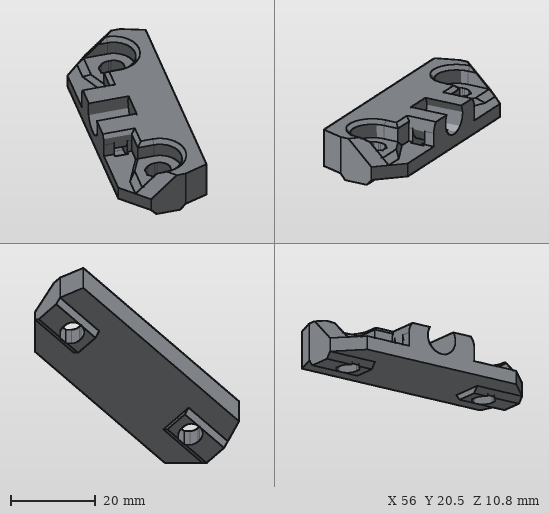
import cadquery as cq
import math

length = 56.0
depth = 20.5
height = 10.8
half_length = length / 2
margin = 1.0

rear_corner_x = 2.0
rear_corner_y = 5.75
front_corner = 6.3

foot_height = 1.5
foot_inner_x = 14.9
foot_run = 1.3
foot_front_y = front_corner
foot_rear_y = depth - rear_corner_y

screw_x = 19.75
screw_y = 10.8
seat_radius = 5.25
seat_floor_z = 6.4
edge_chamfer = 1.0
hole_radius = 2.65
hole_stretch = 0.6
hole_flat_drop = 2.8

ledge_z = 4.85
ledge_rear_y = 6.9
block_half_width = 9.5
seat_outer_x = screw_x + seat_radius
seat_inner_x = screw_x - seat_radius

corner_face_run = 6.3

ramp_foot_y = front_corner - (half_length - seat_outer_x)
ramp_run = corner_face_run * (seat_floor_z - ledge_z) / (height - ledge_z)
ramp_top_y = ramp_foot_y + ramp_run
ramp_top_x = 18.65
ramp_foot_x = 20.3
ramp_slope = 0.47

groove_radius = 4.0
groove_z = 8.7
groove_length = 9.8

bend_radius = 3.55
bend_z = 8.3
channel_outer_radius = 5.5
channel_front_y = 2.55
channel_rear_y = 5.75
bend_x = block_half_width - bend_radius


def both_sides(half):
    """A left-hand shape together with its mirror image in X."""
    return half.union(half.mirror("YZ"))


def extrude_xz(profile, y_start, y_end):
    """Extrude a closed XZ profile, drawn on the origin plane, from y_start to y_end."""
    return profile.extrude(y_start - y_end).translate((0, y_start, 0))


def make_body():
    outline = [
        (-half_length + front_corner, 0),
        (half_length - front_corner, 0),
        (half_length, front_corner),
        (half_length, depth - rear_corner_y),
        (half_length - rear_corner_x, depth),
        (-half_length + rear_corner_x, depth),
        (-half_length, depth - rear_corner_y),
        (-half_length, front_corner),
    ]
    plate = cq.Workplane("XY").workplane(offset=foot_height).polyline(outline).close()
    return plate.extrude(height - foot_height)


def make_foot():
    profile = [
        (foot_front_y, foot_height),
        (foot_front_y + foot_run, 0),
        (foot_rear_y - foot_run, 0),
        (foot_rear_y, foot_height),
    ]
    foot = cq.Workplane("YZ").polyline(profile).close().extrude(half_length - foot_inner_x)
    return foot.translate((-half_length, 0, 0))


def seat_outline(z):
    """Plan of the screw seat: a half circle running straight out through the front."""
    return (
        cq.Workplane("XY")
        .workplane(offset=z)
        .moveTo(-seat_outer_x, -margin)
        .lineTo(-seat_inner_x, -margin)
        .lineTo(-seat_inner_x, screw_y)
        .threePointArc((-screw_x, screw_y + seat_radius), (-seat_outer_x, screw_y))
        .close()
    )


def make_seat_cut():
    pocket = seat_outline(seat_floor_z).extrude(height - seat_floor_z)
    rim = seat_outline(height - edge_chamfer).extrude(edge_chamfer, taper=-45)
    return pocket.union(rim)


def make_screw_hole():
    """Slotted hole with a teardrop front end cut off flat."""
    lower_y = screw_y - hole_stretch
    tangent = hole_radius * math.sqrt(0.5)
    flat_half = hole_radius * math.sqrt(2) - hole_flat_drop
    arc_middle = math.radians(22.5)
    arc_drop = hole_radius * math.sin(arc_middle)
    arc_side = hole_radius * math.cos(arc_middle)
    hole = (
        cq.Workplane("XY")
        .moveTo(-hole_radius, hole_stretch)
        .threePointArc((0, hole_stretch + hole_radius), (hole_radius, hole_stretch))
        .lineTo(hole_radius, 0)
        .threePointArc((arc_side, -arc_drop), (tangent, -tangent))
        .lineTo(flat_half, -hole_flat_drop)
        .lineTo(-flat_half, -hole_flat_drop)
        .lineTo(-tangent, -tangent)
        .threePointArc((-arc_side, -arc_drop), (-hole_radius, 0))
        .close()
        .extrude(height)
    )
    return hole.translate((-screw_x, lower_y, 0))


def ramp_outline(corner_x, front_y):
    """Plan of the raised seat floor at one level, open towards the outer end and the rear."""
    inner_x = corner_x - (screw_y - front_y) / ramp_slope
    return [
        (-half_length, front_y),
        (-corner_x, front_y),
        (-inner_x, screw_y),
        (-half_length, screw_y),
    ]


def make_ramp():
    return (
        cq.Workplane("XY")
        .workplane(offset=ledge_z)
        .polyline(ramp_outline(ramp_foot_x, ramp_foot_y))
        .close()
        .workplane(offset=seat_floor_z - ledge_z)
        .polyline(ramp_outline(ramp_top_x, ramp_top_y))
        .close()
        .loft(ruled=True)
    )


def make_ledge_cut():
    """Ledge beside the rounded block, with a chamfered rear wall and the ramps left standing."""
    bend_rise = height - bend_z
    top_x = bend_x + math.sqrt(bend_radius**2 - bend_rise**2)
    half_rise = bend_radius * math.sin(math.asin(bend_rise / bend_radius) / 2)
    half_x = bend_x + math.sqrt(bend_radius**2 - half_rise**2)
    across = (
        cq.Workplane("XZ")
        .moveTo(-seat_outer_x, ledge_z)
        .lineTo(-block_half_width, ledge_z)
        .lineTo(-block_half_width, bend_z)
        .threePointArc((-half_x, bend_z + half_rise), (-top_x, height))
        .lineTo(-seat_outer_x, height)
        .close()
    )
    rear_wall = [
        (-margin, ledge_z),
        (ledge_rear_y, ledge_z),
        (ledge_rear_y, height - edge_chamfer),
        (ledge_rear_y + edge_chamfer, height),
        (-margin, height),
    ]
    along = cq.Workplane("YZ").polyline(rear_wall).close().extrude(-half_length)
    ledge = extrude_xz(across, -margin, ledge_rear_y + edge_chamfer)
    return ledge.intersect(along).cut(make_ramp())


def corner_outline(reach):
    """Triangle outside a 45 degree line that meets both body sides at this reach."""
    far = 2 * front_corner
    return [
        (-half_length - far, reach + far),
        (-half_length - far, -far),
        (-half_length + reach + far, -far),
    ]


def make_corner_cut():
    """Everything outside the oblique face that rises from the front corner edge."""
    return (
        cq.Workplane("XY")
        .workplane(offset=ledge_z)
        .polyline(corner_outline(front_corner))
        .close()
        .workplane(offset=height - ledge_z)
        .polyline(corner_outline(front_corner + corner_face_run))
        .close()
        .loft(ruled=True)
    )


def make_groove():
    circle = cq.Workplane("XZ").center(0, groove_z).circle(groove_radius)
    return extrude_xz(circle, 0, groove_length)


def wrap_outline(radius):
    """U-shaped outline with quarter-round lower corners about the bend centres."""
    diagonal = radius * math.sqrt(0.5)
    side_x = bend_x + radius
    bottom_z = bend_z - radius
    return (
        cq.Workplane("XZ")
        .moveTo(-side_x, bend_z)
        .threePointArc((-bend_x - diagonal, bend_z - diagonal), (-bend_x, bottom_z))
        .lineTo(bend_x, bottom_z)
        .threePointArc((bend_x + diagonal, bend_z - diagonal), (side_x, bend_z))
        .close()
    )


def make_tie_channel():
    outer = extrude_xz(wrap_outline(channel_outer_radius), channel_front_y, channel_rear_y)
    inner = extrude_xz(wrap_outline(bend_radius), channel_front_y, channel_rear_y)
    return outer.cut(inner)


result = make_body().union(both_sides(make_foot()))
for half_cut in (make_ledge_cut(), make_seat_cut(), make_screw_hole(), make_corner_cut()):
    result = result.cut(both_sides(half_cut))
result = result.cut(make_groove()).cut(make_tie_channel())